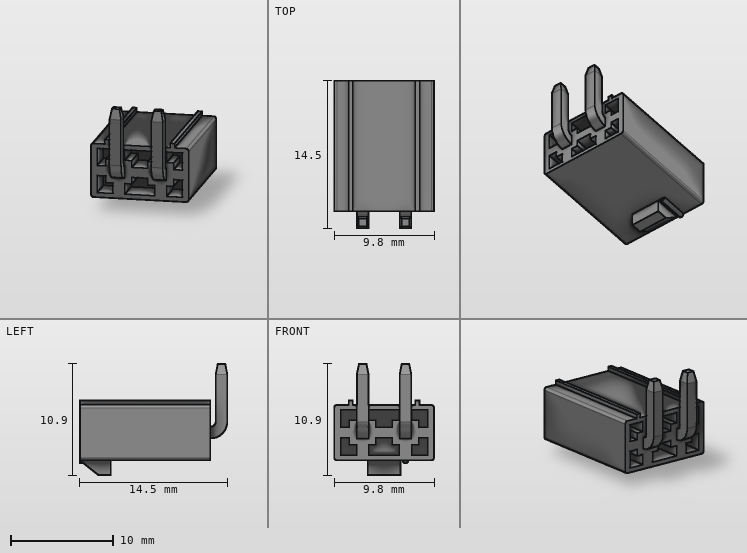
import cadquery as cq

BODY_WIDTH = 9.8
BODY_LENGTH = 12.8
BODY_HEIGHT = 5.44
BODY_EDGE_RADIUS = 0.27
MID_HEIGHT = BODY_HEIGHT / 2

RAIL_WIDTH = 0.43
RAIL_HEIGHT = 0.43
RAIL_SPACING = 6.54

PIN_PITCH = 4.2
PIN_SIZE = 1.16
PIN_BEND_OUTER = 1.66
PIN_BEND_INNER = PIN_BEND_OUTER - PIN_SIZE
PIN_TOP = 9.45
PIN_TIP_SIZE = 0.75
PIN_TIP_LENGTH = 1.01
PIN_EMBED = 0.29
PIN_POSITIONS = [-PIN_PITCH / 2, PIN_PITCH / 2]

POCKET_DEPTH = 2.9
POCKET_FIELD_WIDTH = 8.54
POCKET_FIELD_HEIGHT = 4.49
BEAM_HEIGHT = 1.01
WEB_WIDTH = 1.2
BLOCK_WIDTH = 2.6
BLOCK_HEIGHT = 2.37

LATCH_WIDTH = 3.23
LATCH_HEIGHT = 1.45
LATCH_LENGTH = 3.04
LATCH_FLAT = 1.22

KEY_RADIUS = 0.29
KEY_LENGTH = LATCH_LENGTH


def face_box(width, height, length, x=0):
    """Box running in +Y from the pin face, centred at X = x and at mid height."""
    return (
        cq.Workplane("XY")
        .box(width, length, height, centered=(True, False, True))
        .translate((x, 0, MID_HEIGHT))
    )


def make_body():
    body = face_box(BODY_WIDTH, BODY_HEIGHT, BODY_LENGTH)
    return body.edges("|Y").fillet(BODY_EDGE_RADIUS)


def make_pockets():
    pockets = face_box(POCKET_FIELD_WIDTH, POCKET_FIELD_HEIGHT, POCKET_DEPTH)
    pockets = pockets.cut(face_box(POCKET_FIELD_WIDTH, BEAM_HEIGHT, POCKET_DEPTH))
    for x in PIN_POSITIONS:
        pockets = pockets.cut(face_box(WEB_WIDTH, POCKET_FIELD_HEIGHT, POCKET_DEPTH, x))
        pockets = pockets.cut(face_box(BLOCK_WIDTH, BLOCK_HEIGHT, POCKET_DEPTH, x))
    return pockets


def make_rail(x):
    return (
        cq.Workplane("XY")
        .box(RAIL_WIDTH, BODY_LENGTH, 2 * RAIL_HEIGHT, centered=(True, False, True))
        .translate((x, 0, BODY_HEIGHT))
    )


def make_pin(x):
    bottom = MID_HEIGHT - PIN_SIZE / 2
    top = MID_HEIGHT + PIN_SIZE / 2
    bend_z = bottom + PIN_BEND_OUTER
    shoulder = PIN_TOP - PIN_TIP_LENGTH
    diagonal = 0.5 ** 0.5
    shank = (
        cq.Workplane("YZ", origin=(x, 0, 0))
        .moveTo(PIN_EMBED, bottom)
        .lineTo(0, bottom)
        .threePointArc(
            (-PIN_BEND_OUTER * diagonal, bend_z - PIN_BEND_OUTER * diagonal),
            (-PIN_BEND_OUTER, bend_z),
        )
        .lineTo(-PIN_BEND_OUTER, shoulder)
        .lineTo(-PIN_BEND_INNER, shoulder)
        .lineTo(-PIN_BEND_INNER, bend_z)
        .threePointArc(
            (-PIN_BEND_INNER * diagonal, bend_z - PIN_BEND_INNER * diagonal),
            (0, top),
        )
        .lineTo(PIN_EMBED, top)
        .close()
        .extrude(PIN_SIZE / 2, both=True)
    )
    tip = (
        cq.Workplane("XY", origin=(x, -PIN_BEND_OUTER + PIN_SIZE / 2, shoulder))
        .rect(PIN_SIZE, PIN_SIZE)
        .workplane(offset=PIN_TIP_LENGTH)
        .rect(PIN_TIP_SIZE, PIN_TIP_SIZE)
        .loft(ruled=True)
    )
    return shank.union(tip)


def make_latch():
    front = BODY_LENGTH - LATCH_LENGTH
    profile = [
        (front, 0),
        (front, -LATCH_HEIGHT),
        (front + LATCH_FLAT, -LATCH_HEIGHT),
        (BODY_LENGTH, 0),
    ]
    return cq.Workplane("YZ").polyline(profile).close().extrude(LATCH_WIDTH / 2, both=True)


def make_key():
    return (
        cq.Workplane("XZ", origin=(PIN_PITCH / 2, BODY_LENGTH, 0))
        .circle(KEY_RADIUS)
        .extrude(KEY_LENGTH)
    )


result = make_body().cut(make_pockets())
for rail_x in (-RAIL_SPACING / 2, RAIL_SPACING / 2):
    result = result.union(make_rail(rail_x))
for pin_x in PIN_POSITIONS:
    result = result.union(make_pin(pin_x))
result = result.union(make_latch()).union(make_key())